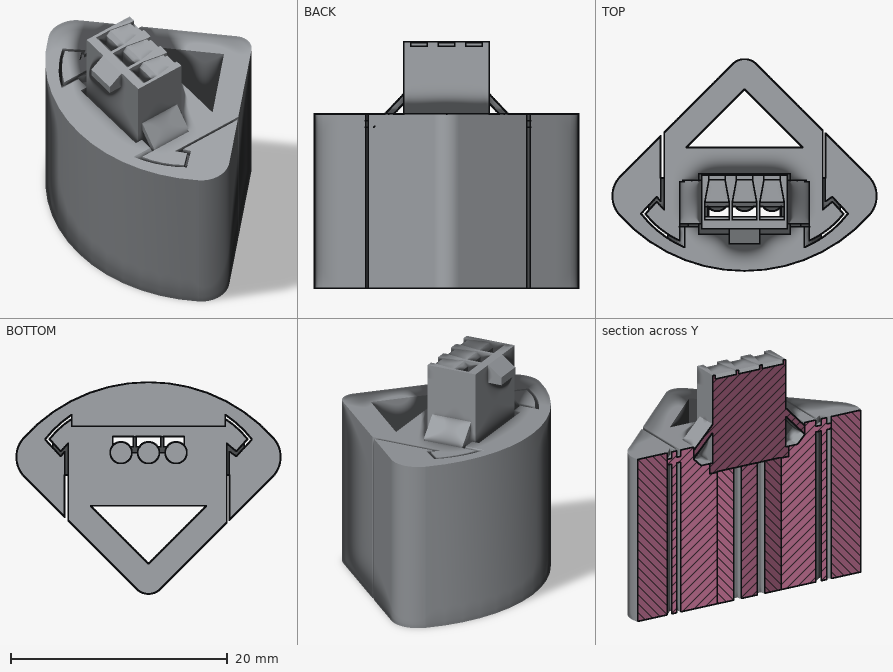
import cadquery as cq
import math

housing_height = 16.1
total_height = 22.77
front_radius = 15.45
apex_y = 4.75
apex_round = 1.54
side_round = 2.6

window_apex_y = 1.32
window_base_y = -4.03

arm_inner_x = 5.98
right_arm_x = 7.22
left_arm_x = 7.42
arm_neck_y = -9.78
barb_shoulder = (8.1, -9.05)
barb_tip = (9.15, -10.17)
barb_front_middle = (8.05, -11.32)
arm_end_y = -12.65
right_socket_x = 7.47
left_socket_x = 7.73
socket_neck_y = -9.03
socket_shoulder = (8.1, -8.6)
socket_tip = (9.55, -10.15)
socket_front_middle = (8.3, -11.5)
socket_end_y = -13.27
socket_inner_x = 5.51
parting_y = -11.35

tab_outer_x = 8.85
tab_rear_y = -6.85
tab_front_y = -10.25
tab_depth = 0.63
tab_thickness = 0.6

ramp_outer_x = 7.1
ramp_drop = 1.63

wing_pocket_rear_y = -7.22
wing_pocket_depth = 2.0
pocket_edge_bevel = 0.78

body_half_width = 3.95
body_rear_y = -6.6
body_front_y = -11.57
flange_half_width = 4.22
flange_rear_y = -6.5
flange_front_y = -12.05
flange_thickness = 1.0
wing_rise = 1.83
wing_drop = 2.15
wing_thickness = 0.88
wing_rear_y = -7.08
wing_front_y = -11.1
latch_half_width = 1.42
latch_reach = 1.37
latch_height = 1.75
latch_nose = 0.75

cell_pitch = 2.54
cell_width = 2.25
cell_rear_width = 1.5
shelf_depth = 0.1
rear_notch_depth = 0.45
shelf_taper_y = -7.03
shelf_front_y = -9.08
slot_rear_y = -9.5
slot_front_y = -10.42
slot_mouth_front_y = -10.7
slot_rear_bevel = 0.41
slot_front_bevel = 0.35
cell_row_half_width = 3.4
cell_floor_thickness = 0.5

pin_diameter = 2.0
pin_y = -8.93
channel_half_width = 3.3

flange_top = housing_height - wing_pocket_depth
connector_bottom = flange_top - flange_thickness
cell_centers = [-cell_pitch, 0, cell_pitch]


def box(x_min, x_max, y_min, y_max, z_min, z_max):
    size = (x_max - x_min, y_max - y_min, z_max - z_min)
    return cq.Workplane("XY").box(*size, centered=False).translate((x_min, y_min, z_min))


def centered_box(half_width, y_min, y_max, z_min, z_max):
    return box(-half_width, half_width, y_min, y_max, z_min, z_max)


def both_sides(right):
    return right.union(right.mirror("YZ"))


def prism_along_y(points, y_min, y_max):
    """Extrude an XZ outline from y_max toward y_min."""
    plane = cq.Workplane("XZ", origin=(0, y_max, 0))
    return plane.polyline(points).close().extrude(y_max - y_min)


def prism_along_x(points, half_width):
    """Extrude a YZ outline over a width centered on X = 0."""
    return cq.Workplane("YZ").polyline(points).close().extrude(half_width, both=True)


def housing_block():
    corner_x = (apex_y + math.sqrt(2 * front_radius**2 - apex_y**2)) / 2
    corner_y = apex_y - corner_x
    block = (
        cq.Workplane("XY")
        .moveTo(0, apex_y)
        .lineTo(corner_x, corner_y)
        .threePointArc((0, -front_radius), (-corner_x, corner_y))
        .close()
        .extrude(housing_height)
    )
    block = block.edges("|Z and >Y").fillet(apex_round)
    return block.edges("|Z and (<X or >X)").fillet(side_round)


def snap_half(outer_x, neck_y, shoulder, tip, front_middle, inner_x, end_y):
    """Region right of X = 0 bounded by arm side, barb and parting plane."""
    return (
        cq.Workplane("XY")
        .moveTo(0, apex_y)
        .lineTo(outer_x, apex_y)
        .lineTo(outer_x, neck_y)
        .lineTo(*shoulder)
        .lineTo(*tip)
        .threePointArc(front_middle, (inner_x, end_y))
        .lineTo(inner_x, parting_y)
        .lineTo(0, parting_y)
        .close()
        .extrude(housing_height)
    )


def snap_region(right_x, left_x, *barb_shape):
    left_half = snap_half(left_x, *barb_shape).mirror("YZ")
    return snap_half(right_x, *barb_shape).union(left_half)


def arm_tabs():
    top = housing_height - tab_depth
    tab = box(arm_inner_x, tab_outer_x, tab_front_y, tab_rear_y, top - tab_thickness, top)
    return both_sides(tab)


def shell_ramps():
    outline = [
        (socket_inner_x, housing_height),
        (ramp_outer_x, housing_height - ramp_drop),
        (ramp_outer_x, 0),
        (socket_inner_x, 0),
    ]
    ramp = prism_along_y(outline, -front_radius, parting_y)
    return both_sides(ramp.intersect(housing_block()))


def wing_pocket():
    outline = [
        (-arm_inner_x, housing_height),
        (-arm_inner_x, flange_top + pocket_edge_bevel),
        (-arm_inner_x + pocket_edge_bevel, flange_top),
        (arm_inner_x - pocket_edge_bevel, flange_top),
        (arm_inner_x, flange_top + pocket_edge_bevel),
        (arm_inner_x, housing_height),
    ]
    return prism_along_y(outline, parting_y, wing_pocket_rear_y)


def flange_pocket():
    return centered_box(
        flange_half_width, flange_front_y, flange_rear_y, connector_bottom, housing_height
    )


def make_pins():
    pin = cq.Workplane("XY").circle(pin_diameter / 2).extrude(connector_bottom)
    return [pin.translate((x, pin_y, 0)) for x in cell_centers]


def make_rear_housing(pins):
    outline = snap_region(
        right_arm_x,
        left_arm_x,
        arm_neck_y,
        barb_shoulder,
        barb_tip,
        barb_front_middle,
        arm_inner_x,
        arm_end_y,
    )
    rear = housing_block().intersect(outline)
    window = (
        cq.Workplane("XY")
        .moveTo(0, window_apex_y)
        .lineTo(window_apex_y - window_base_y, window_base_y)
        .lineTo(window_base_y - window_apex_y, window_base_y)
        .close()
        .extrude(housing_height)
    )
    channel = centered_box(channel_half_width, slot_front_y, pin_y, 0, connector_bottom)
    rear = rear.cut(window).cut(wing_pocket()).cut(flange_pocket()).cut(channel)
    for pin in pins:
        rear = rear.cut(pin)
    return rear.cut(shell_ramps()).union(arm_tabs())


def make_front_shell():
    socket = snap_region(
        right_socket_x,
        left_socket_x,
        socket_neck_y,
        socket_shoulder,
        socket_tip,
        socket_front_middle,
        socket_inner_x,
        socket_end_y,
    )
    shell = housing_block().cut(socket).union(shell_ramps())
    return shell.cut(flange_pocket()).cut(arm_tabs())


def connector_wings():
    """Leaves that slope down and out from the connector sides until they meet the arms."""
    root_top = housing_height + wing_rise
    outline = [
        (body_half_width, root_top),
        (arm_inner_x, root_top - wing_drop),
        (arm_inner_x, root_top - wing_drop - wing_thickness),
        (body_half_width, root_top - wing_thickness),
    ]
    wing = prism_along_y(outline, wing_front_y, wing_rear_y)
    behind_pocket = box(
        body_half_width, arm_inner_x, wing_pocket_rear_y, wing_rear_y, flange_top, housing_height
    )
    return both_sides(wing.cut(behind_pocket))


def connector_latch():
    outline = [
        (body_front_y, total_height),
        (body_front_y - latch_reach, total_height - latch_height + latch_nose),
        (body_front_y - latch_reach, total_height - latch_height),
        (body_front_y, total_height - latch_height),
    ]
    return prism_along_x(outline, latch_half_width)


def connector_cell():
    """Shelf, rear notch, bevelled slot mouth and slot of one cell, centered on X = 0."""
    shelf_z = total_height - shelf_depth
    shelf = (
        cq.Workplane("XY", origin=(0, 0, shelf_z))
        .moveTo(-cell_rear_width / 2, body_rear_y)
        .lineTo(cell_rear_width / 2, body_rear_y)
        .lineTo(cell_rear_width / 2, shelf_taper_y)
        .lineTo(cell_width / 2, shelf_front_y)
        .lineTo(-cell_width / 2, shelf_front_y)
        .lineTo(-cell_rear_width / 2, shelf_taper_y)
        .close()
        .extrude(shelf_depth)
    )
    rear_notch = centered_box(
        cell_rear_width / 2,
        shelf_taper_y,
        body_rear_y,
        total_height - rear_notch_depth,
        total_height,
    )
    slot_outline = [
        (shelf_front_y, total_height),
        (shelf_front_y, shelf_z),
        (slot_rear_y, shelf_z - slot_rear_bevel),
        (slot_rear_y, connector_bottom),
        (slot_front_y, connector_bottom),
        (slot_front_y, total_height - slot_front_bevel),
        (slot_mouth_front_y, total_height),
    ]
    slot = prism_along_x(slot_outline, cell_width / 2)
    return shelf.union(rear_notch).union(slot)


def make_connector():
    body = centered_box(body_half_width, body_front_y, body_rear_y, connector_bottom, total_height)
    flange = centered_box(
        flange_half_width, flange_front_y, flange_rear_y, connector_bottom, flange_top
    )
    connector = body.union(flange).union(connector_wings()).union(connector_latch())
    for x in cell_centers:
        connector = connector.cut(connector_cell().translate((x, 0, 0)))
    ledge = box(
        cell_row_half_width,
        body_half_width,
        slot_front_y,
        slot_rear_y,
        connector_bottom,
        connector_bottom + cell_floor_thickness,
    )
    return connector.union(both_sides(ledge))


pins = make_pins()
rear_housing = make_rear_housing(pins)
front_shell = make_front_shell()
connector = make_connector()

result = cq.Compound.makeCompound(
    [body.solids().val() for body in [rear_housing, front_shell, connector, *pins]]
)